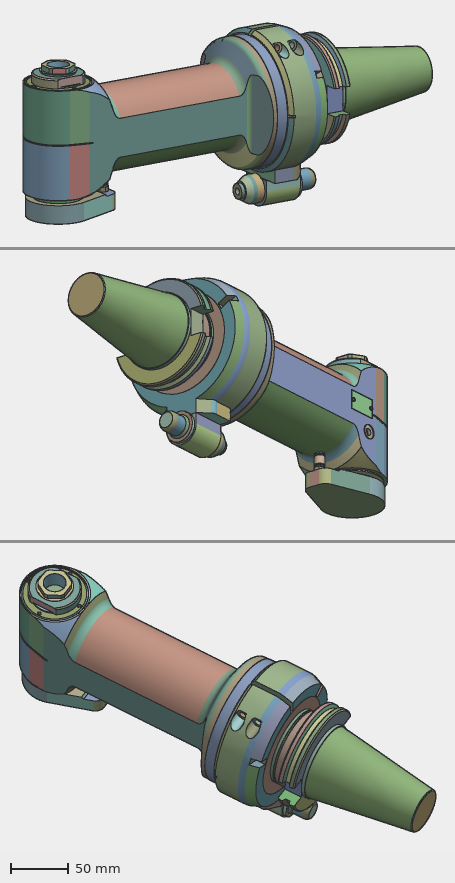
import cadquery as cq
import math


taper_end_y = 379.0
taper_end_r = 20.5
taper_end_bevel = 1.0
taper_base_y = 278.0
taper_base_r = 34.5
neck_r = 35.2
flange_back_y = 275.0
flange_front_y = 258.0
flange_r = 49.0
flange_bevel = 1.2
v_groove_r = 46.0
v_groove_floor = 4.0
v_groove_mouth = 7.5
drive_slot_width = 25.5
neck_groove_y = 246.5
neck_groove_width = 1.5
neck_groove_depth = 1.0

ring_back_y = 243.0
ring_front_y = 200.5
ring_r = 64.0
ring_bore_r = 47.0
ring_back_r = 59.0
ring_cone_y = 234.0
ring_cone_r = 62.5
ring_barrel_y = 227.7
ring_front_bevel = 3.5
slit_width = 4.0
screw_hole_d = 11.0
screw_hole_x = 36.0
screw_hole_seat_x = 28.0
screw_thread_d = 6.0
screw_thread_end_x = -16.5
screw_hole_ys = (225.5, 210.0)
notch_width = 6.0
notch_depth = 10.5
notch_angles = (30, 150)
index_mark_length = 4.5
index_mark_width = 2.0
index_mark_depth = 1.2
lug_half_width = 27.5
lug_bottom_z = -70.0
lug_front_y = 209.0
lug_side_bevel = 10.0
lug_side_round = 1.5

block_front_y = 207.5
block_r = 16.0
pin_axis_z = -80.3
pin_core_r = 9.5
pin_collar_r = 14.5
pin_collar_y = 246.0
pin_flare_y = 249.0
pin_flare_r = 11.0
pin_back_y = 265.0
pin_back_r = 7.15
pin_back_mid_r = 8.8
pin_back_mid_y = 263.0
pin_back_round_y = 259.5
pin_nose_r = 13.0
pin_nose_round_y = 200.5
pin_nose_cone_y = 197.5
pin_nose_cone_r = 12.3
pin_cone_end_y = 191.3
pin_cone_end_r = 8.5
pin_tip_r = 7.0
pin_front_y = 187.5
pin_socket_d = 6.0
pin_socket_depth = 4.0

body_r = 59.0
body_step_y = 190.5
body_front_r = 58.5
shoulder_round_y = 185.0
shoulder_cone_y = 180.5
shoulder_cone_r = 55.7
shoulder_foot_y = 174.5
shoulder_foot_r = 43.0
shaft_start_y = 167.0
shaft_end_y = 42.0
shaft_r = 38.5
flare_y = 35.0
flare_r = 43.0
head_sphere_r = 58.5
head_sphere_start_y = 31.0
head_half_height = 49.5
head_r = 30.7
side_flat_x = 34.2
side_flat_end_y = 10.2
side_flat_top_y = 175.0
pocket_foot = (37.05, 178.5)
pocket_rim = (59.0, 186.8)
seam_width = 1.0
seam_depth = 1.0
cap_r = 29.5
cap_bevel = 1.5
cap_hole_d = 3.2
cap_hole_circle_r = 25.5
cap_hole_depth = 4.0
cap_slot_width = 4.0
cap_slot_range = (-27.5, -24.0)
plate_y_range = (16.0, 45.0)
plate_z_range = (-4.0, 13.5)
plate_thickness = 0.5
plate_screw_ys = (18.0, 43.0)
plate_screw_d = 3.5
plate_screw_height = 1.2
plug_y = 19.5
plug_z = -17.5
plug_d = 13.0
plug_recess = 1.0
plug_socket_d = 6.0
plug_socket_depth = 4.0

spindle_top_z = 65.0
spindle_bore_r = 10.0
spindle_bore_depth = 16.5
wrench_collar_r = 23.5
wrench_collar_foot_r = 21.7
wrench_collar_foot_z = 50.8
wrench_collar_top_z = 58.0
wrench_collar_bevel = 1.2
wrench_flats = 38.5
nut_washer_r = 16.5
nut_washer_foot_r = 15.0
nut_z = 60.2
nut_corner_r = 14.7
nut_across_flats = 27.0
lower_disc_r = 28.0
lower_disc_z = -50.8
spindle_neck_r = 21.7

arm_top_z = -55.0
arm_bottom_z = -71.5
arm_r = 28.5
arm_tangent_y = 9.25
arm_end_y = 54.0
arm_corner_r = 9.0
arm_step_y = 38.0
arm_step_depth = 2.0
stud_y = 46.3
stud_r = 4.7
stud_top_z = -39.0
stud_groove_r = 3.5
stud_groove_width = 1.2
stud_groove_tops = (-49.5, -40.0)
stud_hex_top_z = -52.5
stud_hex_across_flats = 9.0


def turned_about_y(profile):
    """Revolve a closed profile in the XY plane about the Y axis."""
    return profile.revolve(360, (0, 0, 0), (0, 1, 0))


def turned_about_z(points):
    """Revolve (radius, z) points about the Z axis."""
    profile = cq.Workplane("XZ").polyline(points).close()
    return profile.revolve(360, (0, 0, 0), (0, 1, 0))


def box_between(x_range, y_range, z_range):
    size = [high - low for low, high in (x_range, y_range, z_range)]
    return cq.Workplane("XY").box(*size, centered=False).translate((x_range[0], y_range[0], z_range[0]))


def make_shank():
    groove_mid_y = (flange_back_y + flange_front_y) / 2
    profile = cq.Workplane("XY").polyline([
        (0, taper_end_y),
        (taper_end_r - taper_end_bevel, taper_end_y),
        (taper_end_r, taper_end_y - taper_end_bevel),
        (taper_base_r, taper_base_y),
        (neck_r, taper_base_y),
        (neck_r, flange_back_y),
        (flange_r - flange_bevel, flange_back_y),
        (flange_r, flange_back_y - flange_bevel),
        (flange_r, groove_mid_y + v_groove_mouth / 2),
        (v_groove_r, groove_mid_y + v_groove_floor / 2),
        (v_groove_r, groove_mid_y - v_groove_floor / 2),
        (flange_r, groove_mid_y - v_groove_mouth / 2),
        (flange_r, flange_front_y + flange_bevel),
        (flange_r - flange_bevel, flange_front_y),
        (neck_r, flange_front_y),
        (neck_r, neck_groove_y + neck_groove_width / 2),
        (neck_r - neck_groove_depth, neck_groove_y + neck_groove_width / 2),
        (neck_r - neck_groove_depth, neck_groove_y - neck_groove_width / 2),
        (neck_r, neck_groove_y - neck_groove_width / 2),
        (neck_r, ring_back_y),
        (0, ring_back_y),
    ]).close()
    shank = turned_about_y(profile)
    half_slot = drive_slot_width / 2
    for x_range in ((neck_r, flange_r), (-flange_r, -neck_r)):
        shank = shank.cut(box_between(x_range, (flange_front_y, flange_back_y), (-half_slot, half_slot)))
    return shank


def make_ring_blank():
    profile = (
        cq.Workplane("XY")
        .moveTo(0, ring_back_y)
        .lineTo(ring_back_r, ring_back_y)
        .lineTo(ring_cone_r, ring_cone_y)
        .tangentArcPoint((ring_r, ring_barrel_y), relative=False)
        .lineTo(ring_r, ring_front_y + ring_front_bevel)
        .lineTo(ring_r - ring_front_bevel, ring_front_y)
        .lineTo(0, ring_front_y)
        .close()
    )
    return turned_about_y(profile)


def make_ring_lug():
    """Block below the ring whose rear side edges are bevelled and rounded like the ring."""
    rounded = lug_half_width - lug_side_round
    inner = rounded - lug_side_bevel
    half = (
        cq.Workplane("XY", origin=(0, 0, lug_bottom_z))
        .moveTo(0, ring_back_y)
        .lineTo(inner, ring_back_y)
        .lineTo(rounded, ring_cone_y)
        .tangentArcPoint((lug_half_width, ring_barrel_y), relative=False)
        .lineTo(lug_half_width, lug_front_y)
        .lineTo(0, lug_front_y)
        .close()
        .extrude(-lug_bottom_z)
    )
    return half.union(half.mirror("YZ"))


def make_clamp_ring():
    ring = make_ring_blank().union(make_ring_lug())
    bore_length = ring_back_y - ring_front_y
    ring = ring.cut(cq.Workplane("XZ", origin=(0, ring_back_y, 0)).circle(ring_bore_r).extrude(bore_length))
    half_slit = slit_width / 2
    ring = ring.cut(box_between((-half_slit, half_slit), (ring_front_y, ring_back_y), (0, ring_r)))
    screw_z = math.sqrt(ring_r**2 - screw_hole_x**2)
    for hole_y in screw_hole_ys:
        hole = cq.Workplane("YZ", origin=(screw_hole_seat_x, hole_y, screw_z)).circle(screw_hole_d / 2)
        thread = cq.Workplane("YZ", origin=(screw_thread_end_x, hole_y, screw_z)).circle(screw_thread_d / 2)
        ring = ring.cut(hole.extrude(ring_r))
        ring = ring.cut(thread.extrude(screw_hole_seat_x - screw_thread_end_x))
    half_notch = notch_width / 2
    for angle in notch_angles:
        notch = box_between((ring_back_r - notch_depth, ring_r), (ring_cone_y, ring_back_y),
                            (-half_notch, half_notch))
        ring = ring.cut(notch.rotate((0, 0, 0), (0, 1, 0), -angle))
    half_mark = index_mark_width / 2
    mark_end_y = ring_front_y + ring_front_bevel + index_mark_depth
    mark = box_between((ring_r - index_mark_length, ring_r), (ring_front_y, mark_end_y),
                       (-half_mark, half_mark))
    return ring.cut(mark)


def make_locating_pin():
    profile = (
        cq.Workplane("XY")
        .moveTo(0, pin_back_y)
        .lineTo(pin_back_r, pin_back_y)
        .threePointArc((pin_back_mid_r, pin_back_mid_y), (pin_core_r, pin_back_round_y))
        .lineTo(pin_core_r, pin_flare_y)
        .lineTo(pin_flare_r, pin_collar_y)
        .lineTo(pin_collar_r, pin_collar_y)
        .lineTo(pin_collar_r, ring_back_y)
        .lineTo(pin_core_r, ring_back_y)
        .lineTo(pin_core_r, block_front_y)
        .lineTo(pin_nose_r, block_front_y)
        .lineTo(pin_nose_r, pin_nose_round_y)
        .tangentArcPoint((pin_nose_cone_r, pin_nose_cone_y), relative=False)
        .lineTo(pin_cone_end_r, pin_cone_end_y)
        .lineTo(pin_tip_r, pin_cone_end_y)
        .lineTo(pin_tip_r, pin_front_y)
        .lineTo(0, pin_front_y)
        .close()
    )
    pin = turned_about_y(profile).translate((0, 0, pin_axis_z))
    socket = cq.Workplane("XZ", origin=(0, pin_front_y, pin_axis_z)).circle(pin_socket_d / 2)
    return pin.cut(socket.extrude(-pin_socket_depth))


def make_locating_block():
    length = ring_back_y - block_front_y
    return (
        cq.Workplane("XZ", origin=(0, ring_back_y, 0))
        .moveTo(-block_r, lug_bottom_z)
        .lineTo(block_r, lug_bottom_z)
        .lineTo(block_r, pin_axis_z)
        .threePointArc((0, pin_axis_z - block_r), (-block_r, pin_axis_z))
        .close()
        .moveTo(0, pin_axis_z)
        .circle(pin_core_r)
        .extrude(length)
    )


def head_tangent():
    """Angle below +X at which a line from the end of the side flat touches the round head."""
    distance = math.hypot(side_flat_x, side_flat_end_y)
    return math.acos(head_r / distance) - math.atan2(side_flat_end_y, side_flat_x)


def make_housing_blank():
    sphere_start_r = math.sqrt(head_sphere_r**2 - head_sphere_start_y**2)
    quarter = head_sphere_r * math.sqrt(0.5)
    profile = (
        cq.Workplane("XY")
        .moveTo(0, ring_back_y)
        .lineTo(ring_bore_r, ring_back_y)
        .lineTo(ring_bore_r, ring_front_y)
        .lineTo(body_r, ring_front_y)
        .lineTo(body_r, body_step_y)
        .lineTo(body_front_r, body_step_y)
        .lineTo(body_front_r, shoulder_round_y)
        .tangentArcPoint((shoulder_cone_r, shoulder_cone_y), relative=False)
        .lineTo(shoulder_foot_r, shoulder_foot_y)
        .tangentArcPoint((shaft_r, shaft_start_y), relative=False)
        .lineTo(shaft_r, shaft_end_y)
        .tangentArcPoint((flare_r, flare_y), relative=False)
        .lineTo(sphere_start_r, head_sphere_start_y)
        .threePointArc((quarter, -quarter), (0, -head_sphere_r))
        .close()
    )
    return turned_about_y(profile)


def make_plan_block():
    """Upright block with the plan outline: side flats, sloping pockets and the tapered round head."""
    angle = head_tangent()
    slope = (pocket_rim[1] - pocket_foot[1]) / (pocket_rim[0] - pocket_foot[0])
    outside_x = ring_r
    pocket_outside_y = pocket_foot[1] + slope * (outside_x - pocket_foot[0])
    return (
        cq.Workplane("XY", origin=(0, 0, -ring_r))
        .moveTo(0, -head_r)
        .radiusArc((head_r * math.cos(angle), -head_r * math.sin(angle)), -head_r)
        .lineTo(side_flat_x, side_flat_end_y)
        .lineTo(side_flat_x, side_flat_top_y)
        .tangentArcPoint(pocket_foot, relative=False)
        .lineTo(outside_x, pocket_outside_y)
        .lineTo(outside_x, ring_back_y)
        .lineTo(0, ring_back_y)
        .mirrorY()
        .extrude(2 * ring_r)
    )


def make_seam_cutter():
    """Thin groove around the head where its upper and lower halves meet."""
    floor_r = head_r - seam_depth
    floor_angle = head_tangent()
    floor_tangent = (floor_r * math.cos(floor_angle), -floor_r * math.sin(floor_angle))
    fade_out_y = floor_tangent[1] + (side_flat_x - floor_tangent[0]) / math.tan(floor_angle)
    floor = (
        cq.Workplane("XY", origin=(0, 0, -seam_width / 2))
        .moveTo(side_flat_x, fade_out_y)
        .lineTo(*floor_tangent)
        .threePointArc((0, -floor_r), (-floor_tangent[0], floor_tangent[1]))
        .lineTo(-side_flat_x, fade_out_y)
        .close()
        .extrude(seam_width)
    )
    half_seam = seam_width / 2
    around = box_between((-ring_r, ring_r), (-ring_r, fade_out_y), (-half_seam, half_seam))
    return around.cut(floor)


def make_cap_cutter():
    """Bevelled outline, spanner holes and front slot of the bearing cap on top of the head."""
    groove = turned_about_z([
        (cap_r - cap_bevel, head_half_height),
        (cap_r, head_half_height),
        (cap_r, head_half_height - cap_bevel),
    ])
    holes = (
        cq.Workplane("XY", origin=(0, 0, head_half_height))
        .polarArray(cap_hole_circle_r, 0, 180, 3)
        .circle(cap_hole_d / 2)
        .extrude(-cap_hole_depth)
    )
    half_slot = cap_slot_width / 2
    slot = box_between((-half_slot, half_slot), cap_slot_range,
                       (head_half_height - cap_hole_depth, head_half_height))
    return groove.union(holes).union(slot)


def make_name_plate():
    plate = box_between((-side_flat_x - plate_thickness, -side_flat_x), plate_y_range, plate_z_range)
    plate_mid_z = sum(plate_z_range) / 2
    for screw_y in plate_screw_ys:
        screw = cq.Workplane("YZ", origin=(-side_flat_x, screw_y, plate_mid_z)).circle(plate_screw_d / 2)
        plate = plate.union(screw.extrude(-plate_screw_height))
    return plate


def make_plug_recess():
    face = cq.Workplane("YZ", origin=(-side_flat_x, plug_y, plug_z))
    return face.circle(plug_d / 2).extrude(plug_recess).union(
        face.circle(plug_socket_d / 2).extrude(plug_socket_depth))


def make_housing():
    housing = make_housing_blank().intersect(make_plan_block())
    across = (-head_sphere_r, head_sphere_r)
    along = (-head_sphere_r, shaft_end_y)
    for z_range in ((head_half_height, head_sphere_r), (-head_sphere_r, -head_half_height)):
        housing = housing.cut(box_between(across, along, z_range))
    housing = housing.cut(make_seam_cutter()).cut(make_cap_cutter())
    return housing.union(make_name_plate()).cut(make_plug_recess())


def make_output_spindle():
    """Upper nut, wrench collar and lower neck, joined by the shaft inside the head."""
    collar = turned_about_z([
        (0, head_half_height),
        (wrench_collar_r, head_half_height),
        (wrench_collar_r, wrench_collar_top_z - wrench_collar_bevel),
        (wrench_collar_r - wrench_collar_bevel, wrench_collar_top_z),
        (0, wrench_collar_top_z),
    ]).intersect(cq.Workplane("XY").box(wrench_flats, 2 * wrench_collar_r, 2 * spindle_top_z))
    foot = turned_about_z([
        (0, head_half_height),
        (wrench_collar_foot_r, head_half_height),
        (wrench_collar_foot_r, wrench_collar_foot_z),
        (0, wrench_collar_foot_z),
    ])
    washer = turned_about_z([
        (0, wrench_collar_top_z),
        (nut_washer_foot_r, wrench_collar_top_z),
        (nut_washer_r, nut_z),
        (0, nut_z),
    ])
    nut_base = cq.Workplane("XY", origin=(0, 0, nut_z))
    nut_height = spindle_top_z - nut_z
    hex_diameter = nut_across_flats / math.cos(math.pi / 6)
    nut = nut_base.polygon(6, hex_diameter).extrude(nut_height)
    nut = nut.intersect(nut_base.circle(nut_corner_r).extrude(nut_height))
    lower = turned_about_z([
        (0, -head_half_height),
        (lower_disc_r, -head_half_height),
        (lower_disc_r, lower_disc_z),
        (spindle_neck_r, lower_disc_z),
        (spindle_neck_r, arm_top_z),
        (0, arm_top_z),
    ])
    inner_shaft = (
        cq.Workplane("XY").circle(nut_washer_foot_r).extrude(head_half_height, both=True)
    )
    top = cq.Workplane("XY", origin=(0, 0, spindle_top_z))
    bore = top.circle(spindle_bore_r).extrude(-spindle_bore_depth)
    return collar.union(foot).union(washer).union(nut).union(inner_shaft).union(lower).cut(bore)


def make_arm():
    """Plate around the output spindle that narrows towards the stud."""
    tangent_x = math.sqrt(arm_r**2 - arm_tangent_y**2)
    end_x = tangent_x - (arm_end_y - arm_tangent_y) * arm_tangent_y / tangent_x
    arm = (
        cq.Workplane("XY", origin=(0, 0, arm_bottom_z))
        .moveTo(tangent_x, arm_tangent_y)
        .lineTo(end_x, arm_end_y)
        .lineTo(-end_x, arm_end_y)
        .lineTo(-tangent_x, arm_tangent_y)
        .threePointArc((0, -arm_r), (tangent_x, arm_tangent_y))
        .close()
        .extrude(arm_top_z - arm_bottom_z)
    )
    arm = arm.edges("|Z").edges(">Y").fillet(arm_corner_r)
    seat = (
        cq.Workplane("YZ", origin=(-arm_r, 0, 0))
        .polyline([
            (arm_step_y, arm_top_z),
            (arm_step_y + arm_step_depth, arm_top_z - arm_step_depth),
            (arm_end_y, arm_top_z - arm_step_depth),
            (arm_end_y, arm_top_z),
        ])
        .close()
        .extrude(2 * arm_r)
    )
    return arm.cut(seat)


def make_stud():
    height = stud_top_z - stud_hex_top_z
    body = cq.Workplane("XY", origin=(0, stud_y, stud_hex_top_z)).circle(stud_r).extrude(height)
    for groove_top_z in stud_groove_tops:
        groove = cq.Workplane("XY", origin=(0, stud_y, groove_top_z)).circle(stud_r).circle(stud_groove_r)
        body = body.cut(groove.extrude(-stud_groove_width))
    seat_z = arm_top_z - arm_step_depth
    hex_diameter = stud_hex_across_flats / math.cos(math.pi / 6)
    base = cq.Workplane("XY", origin=(0, stud_y, seat_z)).polygon(6, hex_diameter)
    return body.union(base.extrude(stud_hex_top_z - seat_z))


shank = make_shank()
clamp_ring = make_clamp_ring()
locating_pin = make_locating_pin()
locating_block = make_locating_block()
output_spindle = make_output_spindle()
housing = make_housing().cut(output_spindle)
arm = make_arm()
stud = make_stud()

result = cq.Compound.makeCompound([
    shank.solids().val(),
    clamp_ring.solids().val(),
    locating_pin.solids().val(),
    locating_block.solids().val(),
    output_spindle.solids().val(),
    housing.solids().val(),
    arm.solids().val(),
    stud.solids().val(),
])